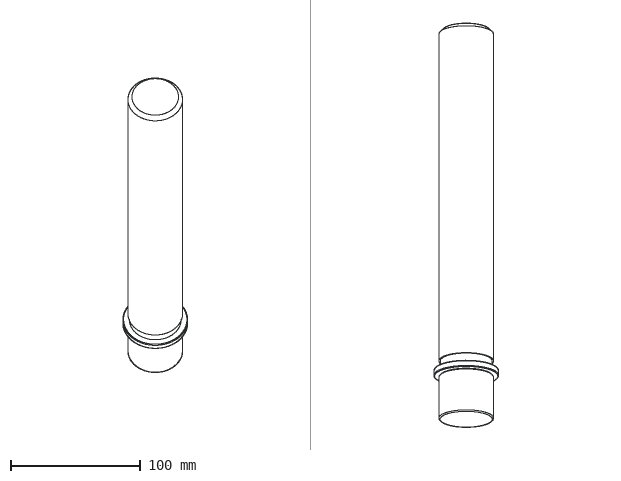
import cadquery as cq

length = 315.0
shaft_radius = 42.2 / 2
neck_radius = 40.0 / 2
collar_radius = 50.0 / 2

collar_bottom = 35.0
collar_thickness = 5.0
collar_top = collar_bottom + collar_thickness
neck_top = 47.2

top_chamfer = 3.0
shaft_chamfer = 1.0
collar_chamfer = 0.5

profile = [
    (0, 0),
    (shaft_radius - shaft_chamfer, 0),
    (shaft_radius, shaft_chamfer),
    (shaft_radius, collar_bottom - shaft_chamfer),
    (shaft_radius - shaft_chamfer, collar_bottom),
    (collar_radius - collar_chamfer, collar_bottom),
    (collar_radius, collar_bottom + collar_chamfer),
    (collar_radius, collar_top - collar_chamfer),
    (collar_radius - collar_chamfer, collar_top),
    (neck_radius, collar_top),
    (neck_radius, neck_top),
    (shaft_radius, neck_top),
    (shaft_radius, length - top_chamfer),
    (shaft_radius - top_chamfer, length),
    (0, length),
]

result = cq.Workplane("XZ").polyline(profile).close().revolve(360, (0, 0, 0), (0, 1, 0))